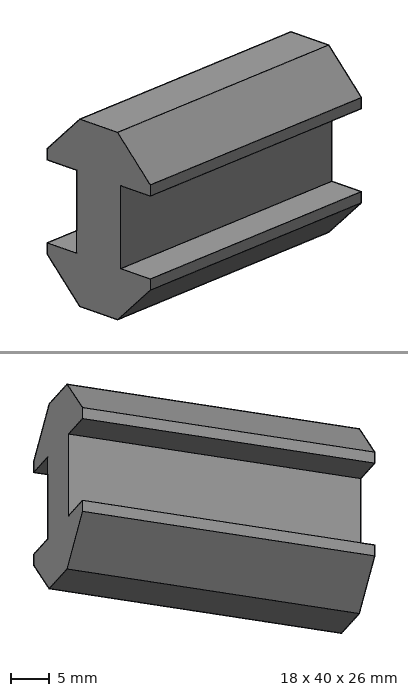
import cadquery as cq

length = 40.0
width = 18.0
height = 26.0

web_width = 7.7
slot_height = 11.5
lip_height = 1.55
head_height = (height - slot_height) / 2
bevel = head_height - lip_height


def quarter_profile(side, end):
    """Corner points of one quarter of the section, from the flat end to the web."""
    flat_end = (side * (width / 2 - bevel), end * height / 2)
    lip_outer = (side * width / 2, end * (height / 2 - bevel))
    lip_inner = (side * width / 2, end * slot_height / 2)
    web_corner = (side * web_width / 2, end * slot_height / 2)
    return [flat_end, lip_outer, lip_inner, web_corner]


def double_headed_profile():
    """Closed outline of the section, clockwise from the top right."""
    right_side = quarter_profile(1, 1) + quarter_profile(1, -1)[::-1]
    left_side = quarter_profile(-1, -1) + quarter_profile(-1, 1)[::-1]
    return right_side + left_side


result = (
    cq.Workplane("XZ")
    .polyline(double_headed_profile())
    .close()
    .extrude(length / 2, both=True)
)